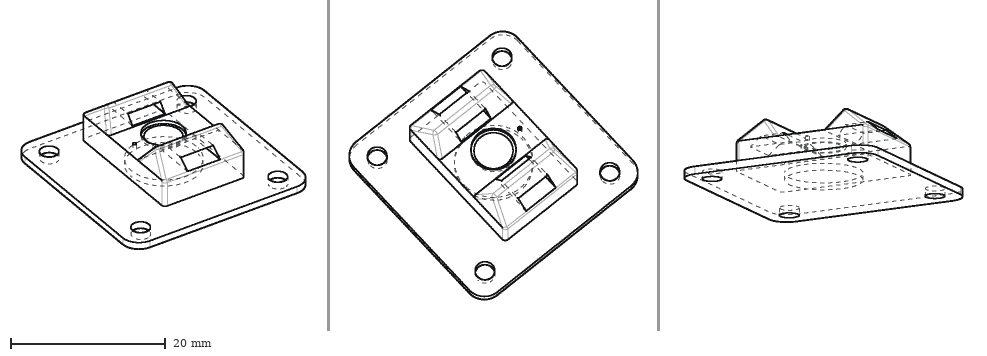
import cadquery as cq
import math

plate_side = 27.95
plate_thickness = 1.03
plate_corner_radius = 2.55
mount_hole_diameter = 2.55
mount_hole_spacing = 21.32

boss_diameter = 10.17
boss_height = 0.92

block_length = 19.17
block_width = 12.65
block_height = 3.9
edge_radius = 0.5

recess_diameter = 5.85
recess_depth = 0.5
dome_diameter = 5.05
dome_height = 0.5

loop_inner_foot = 3.32
ridge_offset = 5.8
ridge_rise = 3.02
ridge_inset = 1.23
slot_width = 5.05
slot_height = 1.29
slot_sill = 0.15

mark_diameter = 0.5
mark_depth = 0.5
mark_offset = 4.5

boss_top = plate_thickness + boss_height
block_top = boss_top + block_height
recess_floor = block_top - recess_depth


def make_base():
    """Plate with four mounting holes and a round boss."""
    plate = (
        cq.Workplane("XY")
        .box(plate_side, plate_side, plate_thickness, centered=(True, True, False))
        .edges("|Z").fillet(plate_corner_radius)
        .faces(">Z").workplane()
        .rect(mount_hole_spacing, mount_hole_spacing, forConstruction=True)
        .vertices().hole(mount_hole_diameter)
    )
    boss = cq.Workplane("XY").workplane(offset=plate_thickness).circle(boss_diameter / 2).extrude(boss_height)
    return plate.union(boss)


def make_dome():
    """Shallow spherical dome standing on the floor of the recess."""
    dome_radius = dome_diameter / 2
    sphere_radius = (dome_radius**2 + dome_height**2) / (2 * dome_height)
    half_angle = math.asin(dome_radius / sphere_radius) / 2
    apex_z = recess_floor + dome_height
    arc_middle = (
        sphere_radius * math.sin(half_angle),
        apex_z - sphere_radius * (1 - math.cos(half_angle)),
    )
    return (
        cq.Workplane("XZ")
        .moveTo(0, recess_floor)
        .lineTo(dome_radius, recess_floor)
        .threePointArc(arc_middle, (0, apex_z))
        .close()
        .revolve(360, (0, 0, 0), (0, 1, 0))
    )


def make_loop(side):
    """Hipped roof at one end of the block; side is -1 or +1 along X."""
    outer_x = side * block_length / 2
    inner_x = side * loop_inner_foot
    ridge_x = side * ridge_offset
    half_width = block_width / 2
    ridge_half = half_width - ridge_inset
    outer_front = cq.Vector(outer_x, -half_width, block_top)
    outer_back = cq.Vector(outer_x, half_width, block_top)
    inner_front = cq.Vector(inner_x, -half_width, block_top)
    inner_back = cq.Vector(inner_x, half_width, block_top)
    ridge_front = cq.Vector(ridge_x, -ridge_half, block_top + ridge_rise)
    ridge_back = cq.Vector(ridge_x, ridge_half, block_top + ridge_rise)
    outlines = [
        [outer_front, inner_front, inner_back, outer_back],
        [outer_front, outer_back, ridge_back, ridge_front],
        [inner_front, inner_back, ridge_back, ridge_front],
        [outer_front, inner_front, ridge_front],
        [outer_back, inner_back, ridge_back],
    ]
    faces = [cq.Face.makeFromWires(cq.Wire.makePolygon(points, close=True)) for points in outlines]
    return cq.Workplane(cq.Solid.makeSolid(cq.Shell.makeShell(faces)))


def is_rounded(edge):
    """True for the block's upright corners, the loops' outer feet, and their ridges and hips."""
    tolerance = 0.003
    at_top_face = abs(edge.Center().z - block_top) < tolerance
    at_bottom_face = abs(edge.Center().z - boss_top) < tolerance
    at_outer_end = abs(abs(edge.Center().x) - block_length / 2) < tolerance
    return not at_bottom_face and (at_outer_end or not at_top_face)


def make_block():
    """Strap block with two slotted loops and a domed recess between them."""
    block = (
        cq.Workplane("XY")
        .workplane(offset=boss_top)
        .box(block_length, block_width, block_height, centered=(True, True, False))
    )
    for side in (-1, 1):
        block = block.union(make_loop(side))
    rounded_edges = [edge for edge in block.edges().vals() if is_rounded(edge)]
    block = block.newObject(rounded_edges).fillet(edge_radius)

    slots = (
        cq.Workplane("XY")
        .workplane(offset=block_top + slot_sill)
        .box(block_length, slot_width, slot_height, centered=(True, True, False))
    )
    recess = (
        cq.Workplane("XY").workplane(offset=recess_floor).circle(recess_diameter / 2).extrude(recess_depth)
    )
    mark = (
        cq.Workplane("XY")
        .workplane(offset=block_top - mark_depth)
        .center(0, -mark_offset)
        .circle(mark_diameter / 2)
        .extrude(mark_depth)
    )
    return block.cut(slots).cut(recess).cut(mark).union(make_dome())


base = make_base()
strap_block = make_block()
result = cq.Compound.makeCompound([base.val(), strap_block.val()])